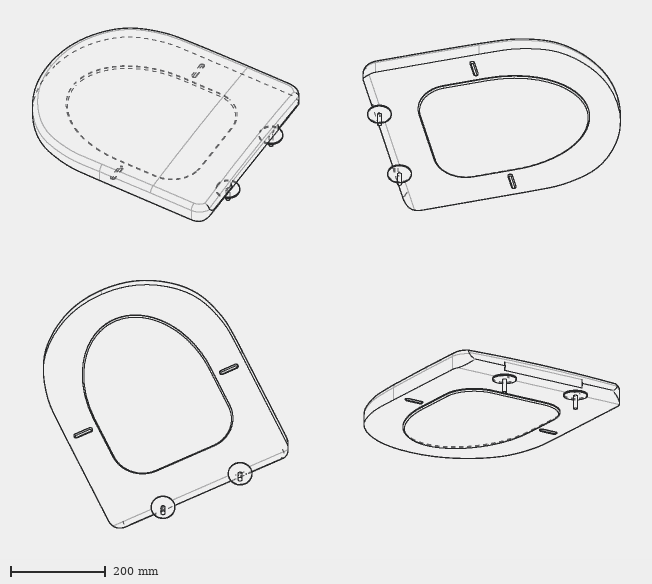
import cadquery as cq


lid_width = 416.0
half_width = lid_width / 2
nose_points = [(0, 0), (40.0, 128.0), (100.5, 183.5), (151.5, 201.0)]
straight_start = 250.0
lid_length = 509.0
lid_height = 46.0
rear_corner_radius = 35.5
rim_fillet = 12.0
crown_radius = 3842.5
bow_radius = 5088.5
bow_end = 374.0
rear_bulge_height = 19.5
rear_lean = 7.5
rear_round_length = 21.0
rear_round_height = 3.8
rear_round_mid = (503.5, 7.0)
notch_half_width = 97.5
notch_x = 506.5
overshoot = 26.0

pad_front = 63.0
pad_rear = 414.0
pad_half_width = 136.5
pad_straight_start = 249.0
pad_corner_radius = 69.5
pad_depth = 5.0
pad_chamfer = 3.0

bumper_x = 269.5
bumper_y = 170.0
bumper_length = 42.5
bumper_width = 10.0
bumper_depth = 3.4
bumper_chamfer = 2.5

hinge_y = 90.0
washer_diameter = 50.5
overall_length = 519.0
hinge_x = overall_length - washer_diameter / 2
washer_bottom = -pad_depth
washer_thickness = 2.35
cap_diameter = 50.0
cap_rim_height = 1.3
cap_dome_height = 3.0
pin_diameter = 9.0
pin_length = 28.5


def make_lid_blank():
    """Plan outline: curved nose, straight sides and rounded rear corners."""
    return (
        cq.Workplane("XY")
        .spline([*nose_points, (straight_start, half_width)], tangents=[(0, 1), (1, 0)])
        .lineTo(lid_length, half_width)
        .lineTo(lid_length, 0)
        .mirrorX()
        .extrude(lid_height + overshoot)
        .edges("|Z and >X")
        .fillet(rear_corner_radius)
    )


def make_crown():
    """Lengthwise top profile turned about a deep axis, so the top also curves across."""
    axis_z = lid_height - crown_radius
    bow_start = -overshoot

    def bow_z(x):
        return lid_height - bow_radius + (bow_radius**2 - (bow_end - x) ** 2) ** 0.5

    return (
        cq.Workplane("XZ")
        .moveTo(bow_start, -overshoot)
        .lineTo(bow_start, bow_z(bow_start))
        .threePointArc((bow_end / 2, bow_z(bow_end / 2)), (bow_end, lid_height))
        .lineTo(lid_length + overshoot, lid_height)
        .lineTo(lid_length + overshoot, -overshoot)
        .close()
        .revolve(360, (0, axis_z), (1, axis_z))
    )


def make_rear_profile():
    """Side profile with a forward-leaning rear face rounded under at the bottom."""
    top = lid_height + overshoot
    round_start = lid_length - rear_round_length
    lean_at_top = rear_lean * (top - rear_bulge_height) / (lid_height - rear_bulge_height)
    return (
        cq.Workplane("XZ")
        .moveTo(-overshoot, 0)
        .lineTo(round_start, 0)
        .threePointArc(rear_round_mid, (lid_length, rear_bulge_height))
        .lineTo(lid_length - lean_at_top, top)
        .lineTo(-overshoot, top)
        .close()
        .extrude(half_width + overshoot, both=True)
    )


def make_notch():
    return (
        cq.Workplane("XY", origin=(notch_x, 0, 0))
        .box(overshoot, 2 * notch_half_width, lid_height, centered=(False, True, False))
    )


def make_lid(caps):
    """Crowned lid with a rounded rim, cut to clear the hinge caps."""
    lid = make_lid_blank().intersect(make_crown()).intersect(make_rear_profile())
    lid = lid.faces(">Z").edges().fillet(rim_fillet)
    lid = lid.cut(make_notch())
    for cap in caps:
        lid = lid.cut(cap)
    return lid


def make_pad():
    """Flat pad with an elliptical front and rounded rear corners."""
    return (
        cq.Workplane("XY")
        .moveTo(pad_rear, -pad_half_width)
        .lineTo(pad_rear, pad_half_width)
        .lineTo(pad_straight_start, pad_half_width)
        .ellipseArc(pad_straight_start - pad_front, pad_half_width, 90, 270, startAtCurrent=True)
        .close()
        .extrude(-pad_depth)
        .edges("|Z and >X")
        .fillet(pad_corner_radius)
        .faces("<Z")
        .chamfer(pad_chamfer)
    )


def make_bumper(y):
    return (
        cq.Workplane("XY")
        .center(bumper_x, y)
        .slot2D(bumper_length, bumper_width, 90)
        .extrude(-bumper_depth)
        .faces("<Z")
        .chamfer(bumper_chamfer)
    )


def make_washer(y):
    return (
        cq.Workplane("XY", origin=(hinge_x, y, washer_bottom))
        .circle(washer_diameter / 2)
        .extrude(washer_thickness)
    )


def make_cap(y):
    """Thin disc with a shallow spherical top."""
    radius = cap_diameter / 2
    sphere_radius = (radius**2 + cap_dome_height**2) / (2 * cap_dome_height)
    height = cap_rim_height + cap_dome_height
    base = cq.Workplane("XY").circle(radius).extrude(height)
    sphere = cq.Workplane("XY").sphere(sphere_radius).translate((0, 0, height - sphere_radius))
    return base.intersect(sphere).translate((hinge_x, y, washer_bottom + washer_thickness))


def make_pin(y):
    return (
        cq.Workplane("XY", origin=(hinge_x, y, washer_bottom))
        .circle(pin_diameter / 2)
        .extrude(-pin_length)
    )


hinge_sides = [-hinge_y, hinge_y]
washers = [make_washer(y) for y in hinge_sides]
caps = [make_cap(y) for y in hinge_sides]
pins = [make_pin(y) for y in hinge_sides]
bumpers = [make_bumper(y) for y in (-bumper_y, bumper_y)]
pad = make_pad()
lid = make_lid(caps)

result = cq.Compound.makeCompound(
    [lid.val(), pad.val()] + [body.val() for body in bumpers + washers + caps + pins]
)